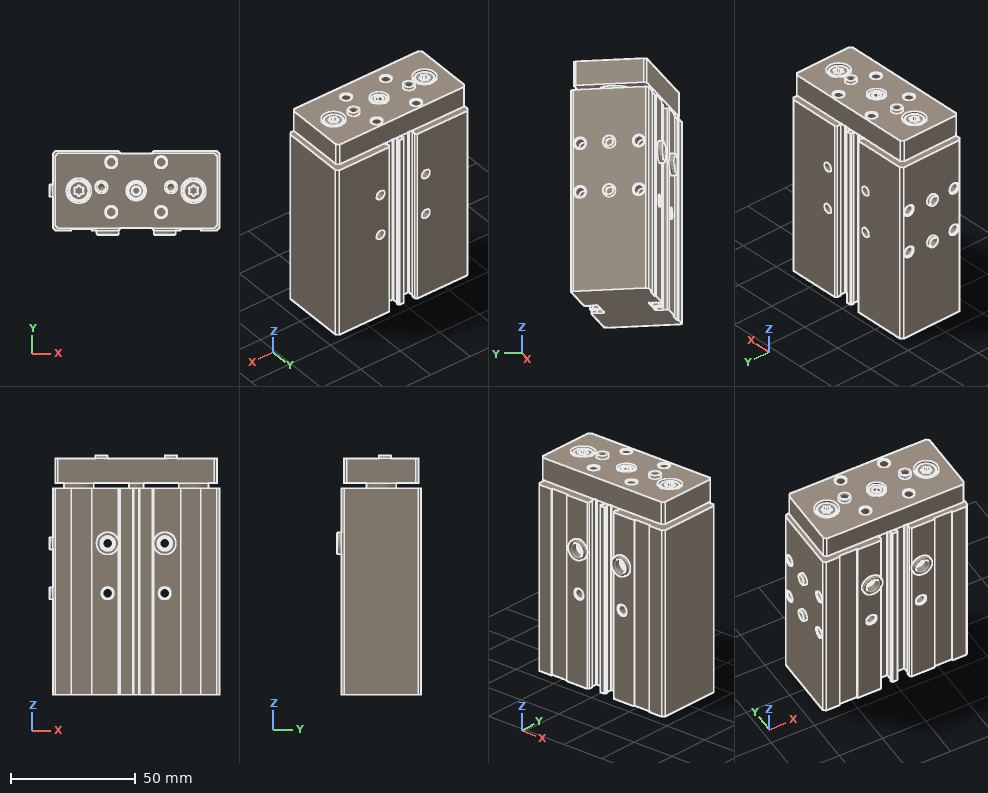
import cadquery as cq
import math

HOUSING_X = 66.9
HOUSING_Y = 32.0
HOUSING_Z = 83.0
CORNER_CHAMFER = 1.1
LEFT_FACE = -HOUSING_X / 2
FRONT_FACE = -HOUSING_Y / 2

GROOVE_INNER_X = 17.8
GROOVE_OUTER_X = 26.0
GROOVE_DEPTH = 0.6

SLOT_OUTER_X = 6.5
SLOT_MOUTH_CHAMFER = 0.7
RIB_HALF_WIDTH = 1.4
RIB_RECESS = 1.1
RIB_CHAMFER = 0.4
SLOT_LIP_DEPTH = 2.5
SLOT_UNDERCUT = 0.5
SLOT_DEPTH = 5.5
SLOT_FLOOR_CHAMFER = 0.4

PLATE_GAP = 2.0
PLATE_X = 65.0
PLATE_Y = 29.95
PLATE_Z = 9.9
PLATE_BOTTOM = HOUSING_Z + PLATE_GAP
PLATE_TOP = PLATE_BOTTOM + PLATE_Z

GUIDE_ROD_X = 23.0
GUIDE_ROD_DIAMETER = 12.0
PISTON_ROD_DIAMETER = 6.0
ROD_INSERTION = 57.8
ROD_END = HOUSING_Z - ROD_INSERTION

HEAD_RECESS_DEPTH = 4.4
HEAD_SINK = 0.4
HEAD_SEAT = PLATE_TOP - HEAD_RECESS_DEPTH
HEAD_HEIGHT = HEAD_RECESS_DEPTH - HEAD_SINK
SOCKET_DEPTH = 2.4
SHANK_DIAMETER = 6.0
GUIDE_HEAD_DIAMETER = 8.5
GUIDE_HEAD_TOP_DIAMETER = 7.5
GUIDE_RECESS_DIAMETER = 10.0
PISTON_HEAD_DIAMETER = 7.0
PISTON_HEAD_TOP_DIAMETER = 6.0
PISTON_RECESS_DIAMETER = 8.0
HEX_ACROSS_FLATS = 3.0
HEX_COUNTERSINK_DIAMETER = 3.7
HEX_COUNTERSINK_DEPTH = 0.2
STAR_TIP_DIAMETER = 4.3
STAR_ROOT_DIAMETER = 3.3
STAR_POINTS = 6
STAR_LOBE_RADIUS = 0.5
NOTCH_DIAMETER = 2.9

THREAD_DIAMETER = 5.0
CORE_DIAMETER = 4.1
DRILL_POINT_ANGLE = 118
PLATE_HOLE_OFFSET = 10.0
PLATE_PATTERN_Y = 1.4
FRONT_HOLE_X = 11.5
UPPER_HOLE_Z = 60.9
LOWER_HOLE_Z = 40.8
LEFT_HOLE_Y = 12.0
LEFT_HOLE_DEPTH = 8.0

SMALL_SLEEVE_DIAMETER = 5.0
SMALL_SLEEVE_BORE = 3.5
SMALL_SLEEVE_PROTRUSION = 1.35
SMALL_SLEEVE_INSERTION = 1.6
LEFT_SEAT_DEPTH = 3.0
TOP_SEAT_DEPTH = 3.0
TOP_SLEEVE_X = 14.0
LARGE_SLEEVE_DIAMETER = 9.0
LARGE_SLEEVE_BORE = 6.0
LARGE_SLEEVE_PROTRUSION = 1.8
LARGE_SLEEVE_INSERTION = 2.0


def cylinder(diameter, height, point, direction):
    """Solid cylinder that starts at point and runs along direction."""
    return cq.Workplane(cq.Solid.makeCylinder(diameter / 2, height, cq.Vector(*point), cq.Vector(*direction)))


def cone(start_diameter, end_diameter, height, point, direction):
    """Solid cone whose first diameter is at point."""
    start_radius = start_diameter / 2
    end_radius = end_diameter / 2
    solid = cq.Solid.makeCone(start_radius, end_radius, height, cq.Vector(*point), cq.Vector(*direction))
    return cq.Workplane(solid)


def drilled_hole(diameter, depth, point, direction):
    """Cutter for a blind hole whose conical drill tip lies beyond depth."""
    tip_height = diameter / 2 / math.tan(math.radians(DRILL_POINT_ANGLE / 2))
    tip_start = cq.Vector(*point) + cq.Vector(*direction) * depth
    tip = cone(diameter, 0, tip_height, tip_start.toTuple(), direction)
    return cylinder(diameter, depth, point, direction).union(tip)


def thread_countersink(point, direction):
    """45 degree cutter from the thread diameter to the core diameter."""
    height = (THREAD_DIAMETER - CORE_DIAMETER) / 2
    return cone(THREAD_DIAMETER, CORE_DIAMETER, height, point, direction)


def screw_head(diameter, top_diameter, x):
    """Chamfered cylinder head resting on its seat in the plate."""
    chamfer = (diameter - top_diameter) / 2
    return cylinder(diameter, HEAD_HEIGHT, (x, 0, HEAD_SEAT), (0, 0, 1)).faces(">Z").chamfer(chamfer)


def shallow_groove_cutter(side):
    width = GROOVE_OUTER_X - GROOVE_INNER_X
    centre_x = side * (GROOVE_OUTER_X + GROOVE_INNER_X) / 2
    return cq.Workplane().box(width, 2 * GROOVE_DEPTH, HOUSING_Z, (True, True, False)).translate(
        (centre_x, FRONT_FACE, 0)
    )


def slot_half_cutter():
    """Front right sensor slot, with the rib's half of the mouth, up to X = 0."""
    lip_y = FRONT_FACE + SLOT_LIP_DEPTH
    floor_y = FRONT_FACE + SLOT_DEPTH
    rib_y = FRONT_FACE + RIB_RECESS
    wide_inner = RIB_HALF_WIDTH - SLOT_UNDERCUT
    wide_outer = SLOT_OUTER_X + SLOT_UNDERCUT
    outline = [
        (0, FRONT_FACE),
        (0, rib_y),
        (RIB_HALF_WIDTH - RIB_CHAMFER, rib_y),
        (RIB_HALF_WIDTH, rib_y + RIB_CHAMFER),
        (RIB_HALF_WIDTH, lip_y),
        (wide_inner, lip_y),
        (wide_inner, floor_y - SLOT_FLOOR_CHAMFER),
        (wide_inner + SLOT_FLOOR_CHAMFER, floor_y),
        (wide_outer - SLOT_FLOOR_CHAMFER, floor_y),
        (wide_outer, floor_y - SLOT_FLOOR_CHAMFER),
        (wide_outer, lip_y),
        (SLOT_OUTER_X, lip_y),
        (SLOT_OUTER_X, FRONT_FACE + SLOT_MOUTH_CHAMFER),
        (SLOT_OUTER_X + SLOT_MOUTH_CHAMFER, FRONT_FACE),
    ]
    return cq.Workplane().polyline(outline).close().extrude(HOUSING_Z)


def make_housing():
    body = cq.Workplane().box(HOUSING_X, HOUSING_Y, HOUSING_Z, (True, True, False))
    body = body.edges("|Z").chamfer(CORNER_CHAMFER)

    front_slots = slot_half_cutter().union(slot_half_cutter().mirror("YZ"))
    body = body.cut(front_slots).cut(front_slots.mirror("XZ"))
    for side in (-1, 1):
        body = body.cut(shallow_groove_cutter(side))

    body = body.cut(cylinder(PISTON_ROD_DIAMETER, ROD_INSERTION, (0, 0, ROD_END), (0, 0, 1)))
    for x in (-GUIDE_ROD_X, GUIDE_ROD_X):
        body = body.cut(cylinder(GUIDE_ROD_DIAMETER, ROD_INSERTION, (x, 0, ROD_END), (0, 0, 1)))

    for x in (-FRONT_HOLE_X, FRONT_HOLE_X):
        for z in (LOWER_HOLE_Z, UPPER_HOLE_Z):
            body = body.cut(cylinder(CORE_DIAMETER, HOUSING_Y, (x, FRONT_FACE, z), (0, 1, 0)))
        upper_mouth = (x, FRONT_FACE, UPPER_HOLE_Z)
        body = body.cut(cylinder(LARGE_SLEEVE_DIAMETER, LARGE_SLEEVE_INSERTION, upper_mouth, (0, 1, 0)))
        body = body.cut(thread_countersink((x, FRONT_FACE + LARGE_SLEEVE_INSERTION, UPPER_HOLE_Z), (0, 1, 0)))
        body = body.cut(thread_countersink((x, FRONT_FACE, LOWER_HOLE_Z), (0, 1, 0)))

    for z in (LOWER_HOLE_Z, UPPER_HOLE_Z):
        body = body.cut(cylinder(SMALL_SLEEVE_DIAMETER, LEFT_SEAT_DEPTH, (LEFT_FACE, 0, z), (1, 0, 0)))
        for y in (-LEFT_HOLE_Y, LEFT_HOLE_Y):
            mouth = (LEFT_FACE, y, z)
            body = body.cut(drilled_hole(CORE_DIAMETER, LEFT_HOLE_DEPTH, mouth, (1, 0, 0)))
            body = body.cut(thread_countersink(mouth, (1, 0, 0)))
    return body


def hex_socket_cutter():
    """Hexagonal socket with a conical lead-in."""
    corner_diameter = HEX_ACROSS_FLATS / math.cos(math.pi / 6)
    head_top = HEAD_SEAT + HEAD_HEIGHT
    socket = cq.Workplane().workplane(offset=head_top).polygon(6, corner_diameter).extrude(-SOCKET_DEPTH)
    lead_in = cone(
        HEX_COUNTERSINK_DIAMETER, HEX_ACROSS_FLATS, HEX_COUNTERSINK_DEPTH, (0, 0, head_top), (0, 0, -1)
    )
    return socket.union(lead_in)


def make_yoke():
    body = cq.Workplane().workplane(offset=PLATE_BOTTOM).box(PLATE_X, PLATE_Y, PLATE_Z, (True, True, False))
    body = body.edges("|Z").chamfer(CORNER_CHAMFER)

    for x in (-PLATE_HOLE_OFFSET, PLATE_HOLE_OFFSET):
        for y in (PLATE_PATTERN_Y - PLATE_HOLE_OFFSET, PLATE_PATTERN_Y + PLATE_HOLE_OFFSET):
            body = body.cut(cylinder(CORE_DIAMETER, PLATE_Z, (x, y, PLATE_BOTTOM), (0, 0, 1)))
            body = body.cut(thread_countersink((x, y, PLATE_TOP), (0, 0, -1)))

    for x in (-TOP_SLEEVE_X, TOP_SLEEVE_X):
        mouth = (x, PLATE_PATTERN_Y, PLATE_TOP)
        body = body.cut(drilled_hole(SMALL_SLEEVE_DIAMETER, TOP_SEAT_DEPTH, mouth, (0, 0, -1)))

    for x in (-GUIDE_ROD_X, GUIDE_ROD_X):
        body = body.cut(cylinder(SHANK_DIAMETER, PLATE_Z, (x, 0, PLATE_BOTTOM), (0, 0, 1)))
        body = body.cut(cylinder(GUIDE_RECESS_DIAMETER, HEAD_RECESS_DEPTH, (x, 0, HEAD_SEAT), (0, 0, 1)))
        notch_length = (GUIDE_RECESS_DIAMETER - GUIDE_HEAD_DIAMETER) / 2
        notch_start = (x, GUIDE_HEAD_DIAMETER / 2, HEAD_SEAT)
        body = body.cut(cylinder(NOTCH_DIAMETER, notch_length, notch_start, (0, 1, 0)))

    body = body.cut(cylinder(PISTON_RECESS_DIAMETER, HEAD_RECESS_DEPTH, (0, 0, HEAD_SEAT), (0, 0, 1)))
    body = body.union(screw_head(PISTON_HEAD_DIAMETER, PISTON_HEAD_TOP_DIAMETER, 0))
    body = body.cut(hex_socket_cutter())
    rod_length = PLATE_BOTTOM - ROD_END
    return body.union(cylinder(PISTON_ROD_DIAMETER, rod_length, (0, 0, ROD_END), (0, 0, 1)))


def star_socket_cutter(x):
    """Six-lobed socket with one lobe pointing along +Y."""
    socket_bottom = HEAD_SEAT + HEAD_HEIGHT - SOCKET_DEPTH
    cutter = cylinder(STAR_ROOT_DIAMETER, SOCKET_DEPTH, (x, 0, socket_bottom), (0, 0, 1))
    lobe_distance = STAR_TIP_DIAMETER / 2 - STAR_LOBE_RADIUS
    for i in range(STAR_POINTS):
        angle = math.pi / 2 + i * 2 * math.pi / STAR_POINTS
        centre = (x + lobe_distance * math.cos(angle), lobe_distance * math.sin(angle), socket_bottom)
        cutter = cutter.union(cylinder(2 * STAR_LOBE_RADIUS, SOCKET_DEPTH, centre, (0, 0, 1)))
    return cutter


def make_guide_rod(x):
    """Guide rod with a thinner shank through the plate and a screw head on top."""
    body = cylinder(GUIDE_ROD_DIAMETER, PLATE_BOTTOM - ROD_END, (x, 0, ROD_END), (0, 0, 1))
    body = body.union(cylinder(SHANK_DIAMETER, HEAD_SEAT - PLATE_BOTTOM, (x, 0, PLATE_BOTTOM), (0, 0, 1)))
    body = body.union(screw_head(GUIDE_HEAD_DIAMETER, GUIDE_HEAD_TOP_DIAMETER, x))
    return body.cut(star_socket_cutter(x))


def make_sleeve(diameter, bore, insertion, protrusion, mouth, outward):
    """Ring seated in a face at mouth, with a full round on its protruding rim."""
    outer = diameter / 2
    inner = bore / 2
    rim_radius = (outer - inner) / 2
    section = (
        cq.Workplane("XZ")
        .moveTo(inner, -insertion)
        .lineTo(outer, -insertion)
        .lineTo(outer, protrusion - rim_radius)
        .threePointArc((outer - rim_radius, protrusion), (inner, protrusion - rim_radius))
        .close()
    )
    ring = section.revolve(360, (0, 0, 0), (0, 1, 0))
    return cq.Workplane(ring.val().moved(cq.Location(cq.Plane(mouth, normal=outward))))


def make_small_sleeve(mouth, outward):
    return make_sleeve(
        SMALL_SLEEVE_DIAMETER,
        SMALL_SLEEVE_BORE,
        SMALL_SLEEVE_INSERTION,
        SMALL_SLEEVE_PROTRUSION,
        mouth,
        outward,
    )


def make_large_sleeve(mouth, outward):
    return make_sleeve(
        LARGE_SLEEVE_DIAMETER,
        LARGE_SLEEVE_BORE,
        LARGE_SLEEVE_INSERTION,
        LARGE_SLEEVE_PROTRUSION,
        mouth,
        outward,
    )


housing = make_housing()
yoke = make_yoke()
guide_rods = [make_guide_rod(x) for x in (-GUIDE_ROD_X, GUIDE_ROD_X)]
top_sleeves = [
    make_small_sleeve((x, PLATE_PATTERN_Y, PLATE_TOP), (0, 0, 1)) for x in (-TOP_SLEEVE_X, TOP_SLEEVE_X)
]
left_sleeves = [make_small_sleeve((LEFT_FACE, 0, z), (-1, 0, 0)) for z in (LOWER_HOLE_Z, UPPER_HOLE_Z)]
front_sleeves = [
    make_large_sleeve((x, FRONT_FACE, UPPER_HOLE_Z), (0, -1, 0)) for x in (-FRONT_HOLE_X, FRONT_HOLE_X)
]

repeated_bodies = guide_rods + top_sleeves + left_sleeves + front_sleeves
result = cq.Compound.makeCompound([housing.val(), yoke.val(), *[body.val() for body in repeated_bodies]])